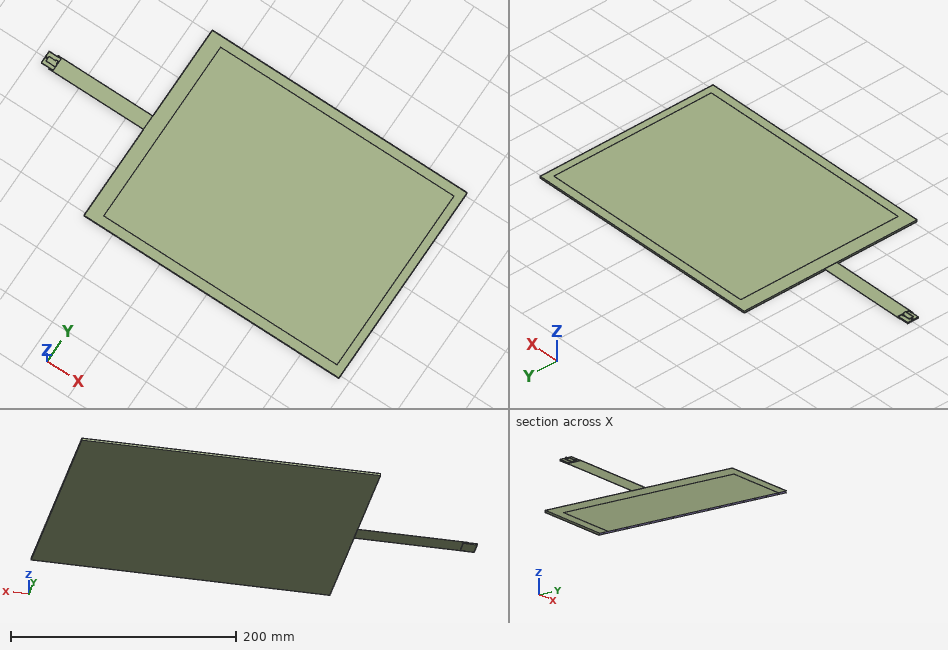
import cadquery as cq

total_length = 381.18
panel_width = 205.74
total_height = 3.15

panel_length = 271.6
panel_thickness = 2.2
window_left_margin = 15.0
window_right_margin = 8.0
window_side_margin = 9.2
window_depth = 0.1

tail_width = 15.0
tail_thickness = 0.2
tail_overlap = 5.0
tail_insertion = 4.0
tail_top = panel_thickness - window_depth

connector_length = 12.7
connector_width = 12.7
connector_bottom = 1.1
connector_top = 2.5

nose_width = 1.2
plate_start = 2.7
plate_end = 11.9
plate_y_min = -2.9
plate_y_max = 2.1
ear_start = 9.8
ear_reach = 0.8
foot_y_max = 0.0

panel_left = total_length - panel_length
panel_y_max = panel_width / 2
window_y_max = panel_y_max - window_side_margin


def block(x_span, y_span, z_span):
    """Rectangular block between the given (low, high) limits on each axis."""
    size = [high - low for low, high in (x_span, y_span, z_span)]
    corner = (x_span[0], y_span[0], z_span[0])
    return cq.Workplane("XY").box(*size, centered=False).translate(corner)


def centred(width):
    """Limits of a width centred on zero."""
    return (-width / 2, width / 2)


def make_panel():
    """Panel with a shallow viewing window sunk in its upper face."""
    plate = block((panel_left, total_length), (-panel_y_max, panel_y_max), (0, panel_thickness))
    window = block(
        (panel_left + window_left_margin, total_length - window_right_margin),
        (-window_y_max, window_y_max),
        (panel_thickness - window_depth, panel_thickness),
    )
    return plate.cut(window)


def make_tail():
    """Thin strip running from inside the connector to inside the panel."""
    return block(
        (connector_length - tail_insertion, panel_left + tail_overlap),
        centred(tail_width),
        (tail_top - tail_thickness, tail_top),
    )


def make_latch():
    """Raised latch on the connector's upper face."""
    z_span = (connector_top, total_height)
    nose = block((0, plate_start), centred(nose_width), z_span)
    plate = block((plate_start, plate_end), (plate_y_min, plate_y_max), z_span)
    ear = block((ear_start, plate_end), (plate_y_max, plate_y_max + ear_reach), z_span)
    foot = block((plate_end, connector_length), (plate_y_min, foot_y_max), z_span)
    return plate.union(nose).union(ear).union(foot)


def make_connector():
    """Connector body with its latch."""
    body = block(
        (0, connector_length),
        centred(connector_width),
        (connector_bottom, connector_top),
    )
    return body.union(make_latch())


result = make_panel().union(make_tail()).union(make_connector())